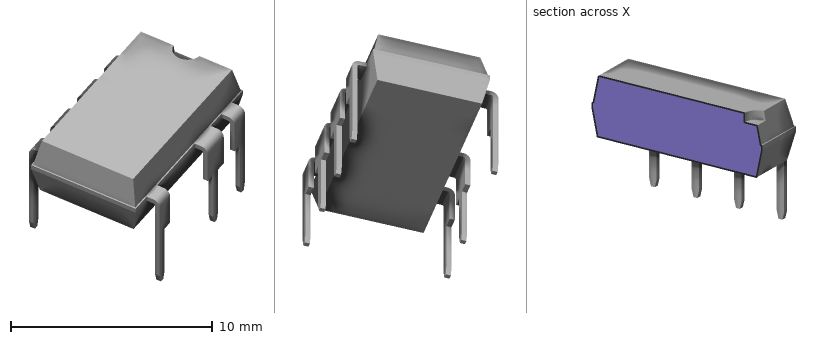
import cadquery as cq
import math

BODY_X = 6.1
BODY_Y = 10.16
BODY_HEIGHT = 3.3
STANDOFF = 0.38
BAND = 0.27
DRAFT = 12
LEDGE = 0.07
HALF_HEIGHT = (BODY_HEIGHT - BAND) / 2
BAND_BOTTOM = STANDOFF + HALF_HEIGHT
BAND_TOP = BAND_BOTTOM + BAND
BODY_TOP = STANDOFF + BODY_HEIGHT

NOTCH_RADIUS = 0.76
NOTCH_DEPTH = 0.5
NOTCH_Y = BODY_Y / 2 - LEDGE - (HALF_HEIGHT - NOTCH_DEPTH) * math.tan(math.radians(DRAFT))

LEAD_SPAN = 7.62
LEAD_THICKNESS = BAND
BEND_OUTER = 0.38
BEND_INNER = BEND_OUTER - LEAD_THICKNESS
LEAD_LENGTH = 3.3
SHOULDER_WIDTH = 1.52
LEG_WIDTH = 0.46
TIP_WIDTH = 0.23
TIP_LENGTH = 0.46
PITCH = 2.54
PIN_ROWS = 4
EMPTY_PIN = (1, 1)


def make_body():
    band = cq.Workplane("XY").workplane(offset=BAND_BOTTOM).rect(BODY_X, BODY_Y).extrude(BAND)
    lower = (
        cq.Workplane("XY").workplane(offset=BAND_BOTTOM)
        .rect(BODY_X, BODY_Y).extrude(-HALF_HEIGHT, taper=DRAFT)
    )
    upper = (
        cq.Workplane("XY").workplane(offset=BAND_TOP)
        .rect(BODY_X - 2 * LEDGE, BODY_Y - 2 * LEDGE).extrude(HALF_HEIGHT, taper=DRAFT)
    )
    return band.union(lower).union(upper)


def make_notch():
    return (
        cq.Workplane("XY").workplane(offset=BODY_TOP - NOTCH_DEPTH)
        .center(0, NOTCH_Y).circle(NOTCH_RADIUS).extrude(NOTCH_DEPTH)
    )


def make_bent_strip():
    """Side profile of a +X lead, wide enough in Y for any blade to be cut from it."""
    outer_x = LEAD_SPAN / 2
    inner_x = outer_x - LEAD_THICKNESS
    bend_x = outer_x - BEND_OUTER
    bend_z = BAND_TOP - BEND_OUTER
    diagonal = math.sqrt(0.5)
    return (
        cq.Workplane("XZ")
        .moveTo(BODY_X / 2, BAND_TOP)
        .lineTo(bend_x, BAND_TOP)
        .threePointArc(
            (bend_x + BEND_OUTER * diagonal, bend_z + BEND_OUTER * diagonal),
            (outer_x, bend_z),
        )
        .lineTo(outer_x, -LEAD_LENGTH)
        .lineTo(inner_x, -LEAD_LENGTH)
        .lineTo(inner_x, bend_z)
        .threePointArc(
            (bend_x + BEND_INNER * diagonal, bend_z + BEND_INNER * diagonal),
            (bend_x, BAND_BOTTOM),
        )
        .lineTo(BODY_X / 2, BAND_BOTTOM)
        .close()
        .extrude(SHOULDER_WIDTH, both=True)
    )


def make_blade(shoulder_low, shoulder_high):
    """Lead outline across Y: shoulder, narrow leg and tapered tip."""
    half_leg = LEG_WIDTH / 2
    half_tip = TIP_WIDTH / 2
    taper_z = TIP_LENGTH - LEAD_LENGTH
    shoulder = (
        cq.Workplane("YZ").moveTo(shoulder_low, 0).lineTo(shoulder_high, 0)
        .lineTo(shoulder_high, BAND_TOP).lineTo(shoulder_low, BAND_TOP).close()
        .extrude(LEAD_SPAN / 2)
    )
    leg = (
        cq.Workplane("YZ").moveTo(-half_leg, BAND_TOP).lineTo(-half_leg, taper_z)
        .lineTo(-half_tip, -LEAD_LENGTH).lineTo(half_tip, -LEAD_LENGTH)
        .lineTo(half_leg, taper_z).lineTo(half_leg, BAND_TOP).close()
        .extrude(LEAD_SPAN / 2)
    )
    return shoulder.union(leg)


def make_lead(row):
    """A +X lead; the end rows have no shoulder on the side facing the body end."""
    low = -LEG_WIDTH / 2 if row == 0 else -SHOULDER_WIDTH / 2
    high = LEG_WIDTH / 2 if row == PIN_ROWS - 1 else SHOULDER_WIDTH / 2
    y = (row - (PIN_ROWS - 1) / 2) * PITCH
    return make_bent_strip().intersect(make_blade(low, high)).translate((0, y, 0))


result = make_body().cut(make_notch())
for row in range(PIN_ROWS):
    lead = make_lead(row)
    for side in (-1, 1):
        if (side, row) != EMPTY_PIN:
            result = result.union(lead if side == 1 else lead.mirror("YZ"))